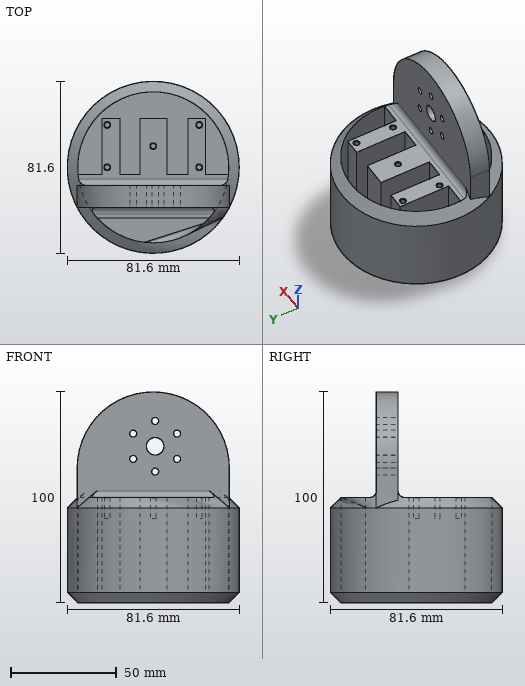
import cadquery as cq
import math

base_radius = 40.8
base_height = 50.0
base_chamfer = 5.0
floor_thickness = 5.0
cavity_radius = base_radius - base_chamfer

plate_width = 72.2
plate_thickness = 10.4
plate_top = 100.0
plate_center_y = -13.8
web_thickness = 20.6
root_fillet = 3.0
plate_radius = plate_width / 2
plate_arc_z = plate_top - plate_radius
plate_front_y = plate_center_y - plate_thickness / 2
plate_back_y = plate_center_y + plate_thickness / 2
web_front_y = plate_center_y - web_thickness / 2
web_back_y = plate_center_y + web_thickness / 2

pattern_x = 0.9
pattern_z = 74.2
center_hole_diameter = 8.2
ring_hole_diameter = 3.2
ring_radius = 12.0
ring_hole_count = 6

block_end_y = 23.1
left_block = (-24.4, -15.8)
middle_block = (-6.3, 6.4)
right_block = (16.5, 24.8)

screw_diameter = 2.5
screw_mouth_diameter = 3.2
screw_depth = 10.0
screw_x = 21.8
screw_front_y = 0.0
screw_back_y = 20.1
screw_middle_y = (screw_front_y + screw_back_y) / 2
screw_points = [(x, y) for x in (-screw_x, screw_x) for y in (screw_front_y, screw_back_y)]
screw_points.append((0, screw_middle_y))


def make_base():
    """Solid of revolution whose top chamfer runs on upward to the height of the root fillets."""
    blank_top = base_height + root_fillet
    return (
        cq.Workplane("XZ")
        .moveTo(0, 0)
        .lineTo(cavity_radius, 0)
        .lineTo(base_radius, base_chamfer)
        .lineTo(base_radius, base_height - base_chamfer)
        .lineTo(cavity_radius - root_fillet, blank_top)
        .lineTo(0, blank_top)
        .close()
        .revolve(360, (0, 0, 0), (0, 1, 0))
    )


def make_web():
    """Web across the cup, with concave fillets rising to both faces of the plate."""
    blank_top = base_height + root_fillet
    return (
        cq.Workplane("YZ", origin=(-base_radius, 0, 0))
        .moveTo(web_front_y, 0)
        .lineTo(web_front_y, base_height)
        .lineTo(plate_front_y - root_fillet, base_height)
        .radiusArc((plate_front_y, blank_top), -root_fillet)
        .lineTo(plate_back_y, blank_top)
        .radiusArc((plate_back_y + root_fillet, base_height), -root_fillet)
        .lineTo(web_back_y, base_height)
        .lineTo(web_back_y, 0)
        .close()
        .extrude(2 * base_radius)
    )


def make_cavity():
    """Round pocket, open at the top, with the web and the mounting blocks left standing in it."""
    depth = base_height + root_fillet - floor_thickness
    cavity = cq.Workplane("XY").workplane(offset=floor_thickness).circle(cavity_radius).extrude(depth)
    cavity = cavity.cut(make_web())
    for x_min, x_max in (left_block, middle_block, right_block):
        block_length = block_end_y - plate_center_y
        block = cq.Workplane("XY").box(x_max - x_min, block_length, base_height, centered=False)
        cavity = cavity.cut(block.translate((x_min, plate_center_y, 0)))
    return cavity


def make_plate():
    """Upright round-topped plate, rooted at the lower edge of the top chamfer."""
    plate_bottom = base_height - base_chamfer
    return (
        cq.Workplane("XZ", origin=(0, plate_back_y, 0))
        .moveTo(-plate_radius, plate_bottom)
        .lineTo(-plate_radius, plate_arc_z)
        .threePointArc((0, plate_top), (plate_radius, plate_arc_z))
        .lineTo(plate_radius, plate_bottom)
        .close()
        .extrude(plate_thickness)
    )


def make_plate_holes():
    ring_points = []
    for i in range(ring_hole_count):
        angle = math.pi / 2 + i * 2 * math.pi / ring_hole_count
        ring_points.append((ring_radius * math.cos(angle), ring_radius * math.sin(angle)))
    face = cq.Workplane("XZ", origin=(pattern_x, plate_back_y, pattern_z))
    center_hole = face.circle(center_hole_diameter / 2).extrude(plate_thickness)
    ring_holes = face.pushPoints(ring_points).circle(ring_hole_diameter / 2).extrude(plate_thickness)
    return center_hole.union(ring_holes)


def make_screw_holes():
    """Screw holes widening at 45 degrees to their mouths."""
    mouth_depth = (screw_mouth_diameter - screw_diameter) / 2
    screw_hole = (
        cq.Workplane("XZ")
        .moveTo(0, base_height - screw_depth)
        .lineTo(screw_diameter / 2, base_height - screw_depth)
        .lineTo(screw_diameter / 2, base_height - mouth_depth)
        .lineTo(screw_mouth_diameter / 2, base_height)
        .lineTo(0, base_height)
        .close()
        .revolve(360, (0, 0, 0), (0, 1, 0))
    )
    holes = cq.Workplane("XY")
    for x, y in screw_points:
        holes = holes.add(screw_hole.translate((x, y, 0)))
    return holes.combine()


result = (
    make_base()
    .cut(make_cavity())
    .union(make_plate())
    .cut(make_plate_holes())
    .cut(make_screw_holes())
)